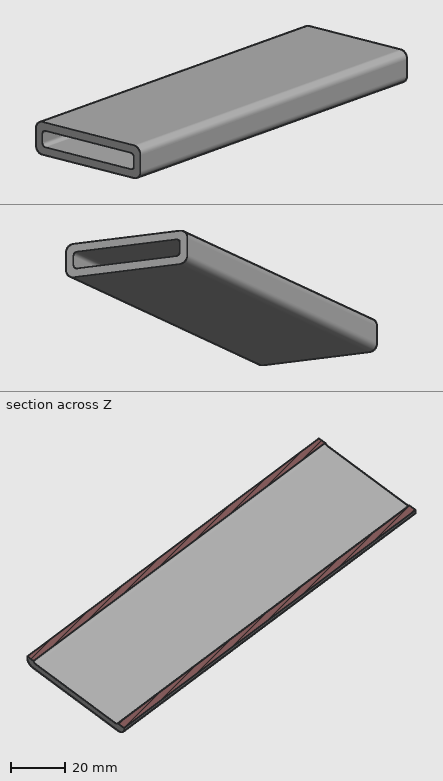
import cadquery as cq

width = 50.42
length = 152.4
height = 12.7
wall = 3.175
outer_radius = 3.175
inner_radius = 1.524


def rounded_bar(bar_width, bar_height, corner_radius):
    """Full-length bar centred on the origin, with rounded edges along Y."""
    return cq.Workplane("XY").box(bar_width, length, bar_height).edges("|Y").fillet(corner_radius)


outer_body = rounded_bar(width, height, outer_radius)
bore = rounded_bar(width - 2 * wall, height - 2 * wall, inner_radius)

result = outer_body.cut(bore)